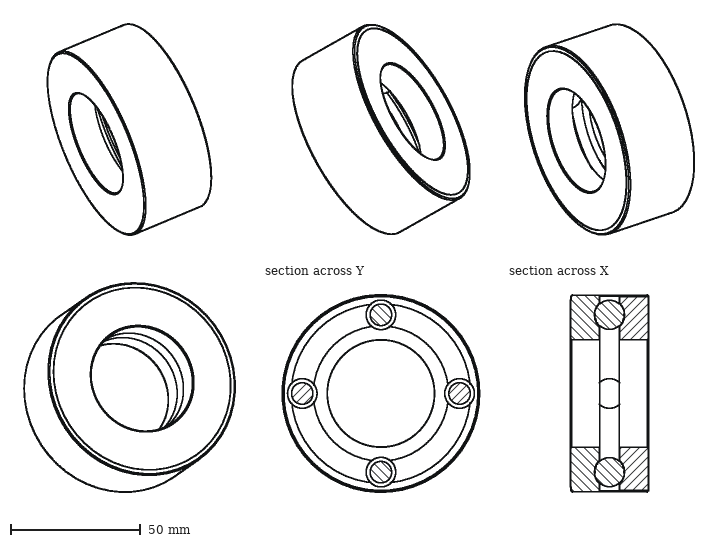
import cadquery as cq
import math

OUTER_DIAMETER = 76.2
WIDTH = 30.2
BORE_DIAMETER = 41.3
BORE_CHAMFER = 0.45
WASHER_DIAMETER = 74.8
WASHER_GAP = 7.6

BALL_COUNT = 4
BALL_DIAMETER = 11.4
BALL_PITCH_RADIUS = 30.3

RIM_DIAMETER = 75.2
REAR_LAND_DIAMETER = 72.15
REAR_LAND_HEIGHT = 0.2

outer_radius = OUTER_DIAMETER / 2
bore_radius = BORE_DIAMETER / 2
washer_radius = WASHER_DIAMETER / 2
rim_radius = RIM_DIAMETER / 2
rear_land_radius = REAR_LAND_DIAMETER / 2
ball_radius = BALL_DIAMETER / 2
front_y = -WIDTH / 2
rear_y = WIDTH / 2
inner_face_y = WASHER_GAP / 2
edge_size = outer_radius - rim_radius


def revolve_about_y(outline):
    """Turn a closed outline, with X as radius, around the Y axis."""
    return outline.close().revolve(360, (0, 0, 0), (0, 1, 0))


def make_raceway():
    """Ring-shaped space swept by the balls."""
    section = cq.Workplane("XY").center(BALL_PITCH_RADIUS, 0).circle(ball_radius)
    return section.revolve(360, (-BALL_PITCH_RADIUS, 0, 0), (-BALL_PITCH_RADIUS, 1, 0))


def make_front_washer():
    """Flat washer with a chamfered bore entry and a raceway on its inner face."""
    outline = cq.Workplane("XY").polyline([
        (bore_radius, front_y + BORE_CHAMFER),
        (bore_radius + BORE_CHAMFER, front_y),
        (washer_radius, front_y),
        (washer_radius, -inner_face_y),
        (bore_radius, -inner_face_y),
    ])
    return revolve_about_y(outline).cut(make_raceway())


def make_housing():
    """Rear washer in one piece with the sleeve that surrounds the front washer."""
    rear_rim_y = rear_y - REAR_LAND_HEIGHT
    outline = (
        cq.Workplane("XY")
        .moveTo(bore_radius, inner_face_y)
        .lineTo(washer_radius, inner_face_y)
        .lineTo(washer_radius, front_y)
        .lineTo(rim_radius, front_y)
        .lineTo(outer_radius, front_y + edge_size)
        .lineTo(outer_radius, rear_rim_y - edge_size)
        .lineTo(rim_radius, rear_rim_y)
        .lineTo(rear_land_radius, rear_rim_y)
        .lineTo(rear_land_radius, rear_y)
        .lineTo(bore_radius + BORE_CHAMFER, rear_y)
        .lineTo(bore_radius, rear_y - BORE_CHAMFER)
    )
    return revolve_about_y(outline).cut(make_raceway())


def make_balls():
    """Balls evenly spaced in the raceway, each a separate solid."""
    balls = []
    for index in range(BALL_COUNT):
        angle = 2 * math.pi * index / BALL_COUNT
        x = BALL_PITCH_RADIUS * math.cos(angle)
        z = BALL_PITCH_RADIUS * math.sin(angle)
        balls.append(cq.Workplane("XY").sphere(ball_radius).translate((x, 0, z)).val())
    return balls


front_washer = make_front_washer()
housing = make_housing()
balls = make_balls()

result = cq.Compound.makeCompound([
    front_washer.val(),
    housing.val(),
    *balls,
])